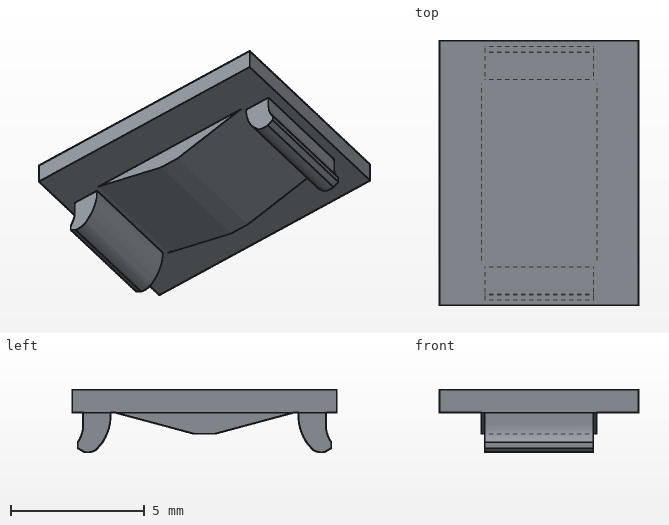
import cadquery as cq

plate_width = 7.45
plate_length = 9.9
plate_thickness = 0.86

pad_width = 4.34
pad_depth = 0.79
pad_top_length = 6.67
pad_bottom_length = 0.78

leg_width = 4.06
leg_depth = 1.485
leg_inner_y = 3.5
leg_outer_y = 4.54
leg_straight_depth = 0.49
lip_y = 4.74
lip_top_depth = 1.1
lip_bottom_depth = 1.33
throat_mid = (4.59, -0.8)
inner_curve_mid = (3.56, -0.55)
inner_curve_end = (3.81, -1.11)
toe_outer_end = (4.51, -1.47)
toe_y = 4.36
toe_inner_end = (4.03, -1.37)


def make_plate():
    return cq.Workplane("XY").box(
        plate_width, plate_length, plate_thickness, centered=(True, True, False)
    )


def make_pad():
    half_top = pad_top_length / 2
    half_bottom = pad_bottom_length / 2
    outline = [
        (-half_top, 0),
        (-half_bottom, -pad_depth),
        (half_bottom, -pad_depth),
        (half_top, 0),
    ]
    return cq.Workplane("YZ").polyline(outline).close().extrude(pad_width / 2, both=True)


def make_leg():
    """Leg at the +Y end, with its lip hooked outwards."""
    return (
        cq.Workplane("YZ")
        .moveTo(leg_inner_y, 0)
        .lineTo(leg_outer_y, 0)
        .lineTo(leg_outer_y, -leg_straight_depth)
        .threePointArc(throat_mid, (lip_y, -lip_top_depth))
        .lineTo(lip_y, -lip_bottom_depth)
        .lineTo(*toe_outer_end)
        .threePointArc((toe_y, -leg_depth), toe_inner_end)
        .lineTo(*inner_curve_end)
        .threePointArc(inner_curve_mid, (leg_inner_y, 0))
        .close()
        .extrude(leg_width / 2, both=True)
    )


leg = make_leg()
result = make_plate().union(make_pad()).union(leg).union(leg.mirror("XZ"))